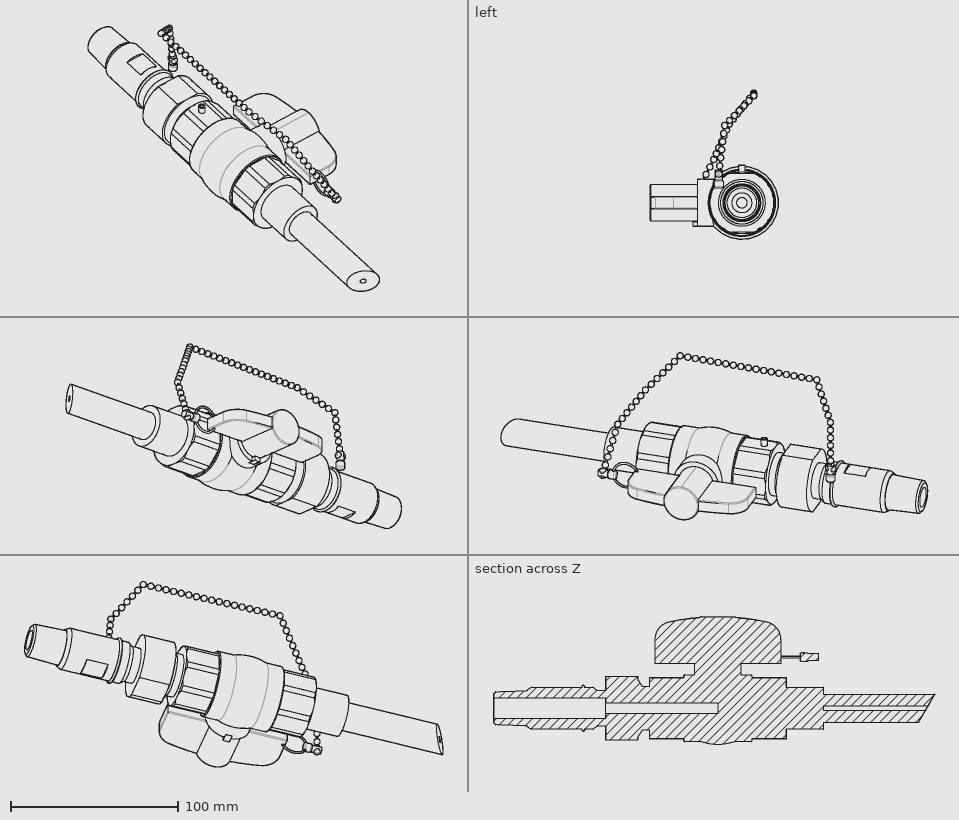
import cadquery as cq
import math


NOZZLE_END = 20.2
BARREL_START = 22.7
BARREL_END = 59.4
NECK_START = 62.0
COLLAR_START = 67.0
COLLAR_END = 86.2
COLLAR_CONE_END = 89.0
VALVE_CENTRE = 134.0
BODY_HALF_LENGTH = 20.4
BULGE_HALF_LENGTH = 9.95
OCTAGON_LENGTH = 20.5
SOCKET_END = 197.2
TOTAL_LENGTH = 263.65

TOTAL_WIDTH = 76.62
TOTAL_HEIGHT = 89.31

BODY_START = VALVE_CENTRE - BODY_HALF_LENGTH
BODY_END = VALVE_CENTRE + BODY_HALF_LENGTH
FIRST_OCTAGON_START = BODY_START - OCTAGON_LENGTH
SECOND_OCTAGON_END = BODY_END + OCTAGON_LENGTH

NOZZLE_TIP_DIAMETER = 20.0
NOZZLE_ROOT_DIAMETER = 21.4
NOZZLE_TIP_CHAMFER = 1.2
BARREL_SHOULDER_DIAMETER = 22.6
BARREL_DIAMETER = 25.4
NECK_DIAMETER = 21.6
COLLAR_DIAMETER = 38.1
COLLAR_NECK_DIAMETER = 26.2
OCTAGON_CORNER_DIAMETER = 38.3
BODY_DIAMETER = 40.26
BODY_EDGE_CHAMFER = 0.6
BULGE_DIAMETER = 43.8
SOCKET_DIAMETER = 25.4
PIPE_DIAMETER = 17.14

COLLAR_FLATS = 35.0
OCTAGON_SIDES = 8
OCTAGON_FLATS = 36.6
OCTAGON_CHAMFER = 0.8
BARREL_FLATS = 22.4
BARREL_FLAT_START = 34.4
BARREL_FLAT_LENGTH = 13.4

NOZZLE_BORE_DIAMETER = 11.91
NOZZLE_BORE_DEPTH = COLLAR_START
VALVE_BORE_DIAMETER = 6.35
PIPE_BORE_DIAMETER = 3.17
PIPE_BEVEL_ANGLE = 30.0

PIN_DIAMETER = 3.81
PIN_X = 100.2
PIN_TOP = 22.5
PIN_HOLE_DIAMETER = 2.0

STEM_DIAMETER = 28.19
GRIP_DIAMETER = 22.0
GRIP_EDGE_FILLET = 0.6
HANDLE_BASE_Y = 26.6
HANDLE_TIP_Y = TOTAL_WIDTH - BULGE_DIAMETER / 2
WING_HALF_SPAN = 37.7
WING_SHOULDER_Y = 49.6
WING_THICKNESS = 7.4
WING_CORNER_RADIUS = 11.0
WING_EDGE_FILLET = 0.6
STOP_WIDTH = 4.0
STOP_HEIGHT = 2.8
STOP_LENGTH = 2.6

BEAD_DIAMETER = 3.81
BEAD_PITCH = 4.8
LINK_DIAMETER = 1.0
CHAIN_TOP_Z = TOTAL_HEIGHT - BULGE_DIAMETER / 2
NOZZLE_CLIP = (53.6, 13.8, 17.2)
HANDLE_CLIP = (191.6, 30.6, -1.0)
CHAIN_CORNERS = [
    NOZZLE_CLIP,
    (54.9, 10.3, 46.2),
    (69.5, -7.1, 63.8),
    (155.7, -7.1, CHAIN_TOP_Z - BEAD_DIAMETER / 2),
    (172.6, 7.6, 46.9),
    (187.0, 16.8, 25.9),
    HANDLE_CLIP,
]

SLEEVE_DIAMETER = 4.3
SLEEVE_LENGTH = 6.0
SLEEVE_OVERHANG = 2.5
CROSS_PIN_DIAMETER = 4.0
CROSS_PIN_LENGTH = 6.0
CROSS_PIN_FILLET = 1.2
EYE_DIAMETER = 5.4
EYE_LENGTH = 5.0
EYE_FILLET = 1.0
HANDLE_RING_WIRE = 1.2
NOZZLE_RING_DIAMETER = 26.2
NOZZLE_RING_WIRE = 1.8
HANDLE_RING_DIAMETER = 15.8
HANDLE_RING_X = 177.1


def cylinder(diameter, start, end):
    """Round bar between two points."""
    axis = cq.Vector(*end) - cq.Vector(*start)
    return cq.Solid.makeCylinder(diameter / 2, axis.Length, cq.Vector(*start), axis)


def ball(diameter, centre):
    """Full sphere about a point."""
    sphere = cq.Solid.makeSphere(diameter / 2, angleDegrees1=-90, angleDegrees2=90)
    return sphere.moved(cq.Location(cq.Vector(*centre)))


def turned_body():
    """Revolved outline of everything that is round about the flow axis."""
    bulge_radius = BULGE_DIAMETER / 2
    body_radius = BODY_DIAMETER / 2
    profile = (
        cq.Workplane("XY")
        .moveTo(0, 0)
        .lineTo(0, NOZZLE_TIP_DIAMETER / 2 - NOZZLE_TIP_CHAMFER)
        .lineTo(NOZZLE_TIP_CHAMFER, NOZZLE_TIP_DIAMETER / 2)
        .lineTo(NOZZLE_END, NOZZLE_ROOT_DIAMETER / 2)
        .lineTo(NOZZLE_END, BARREL_SHOULDER_DIAMETER / 2)
        .lineTo(BARREL_START, BARREL_DIAMETER / 2)
        .lineTo(BARREL_END, BARREL_DIAMETER / 2)
        .lineTo(NECK_START, NECK_DIAMETER / 2)
        .lineTo(COLLAR_END, NECK_DIAMETER / 2)
        .lineTo(COLLAR_END, COLLAR_FLATS / 2)
        .lineTo(COLLAR_CONE_END, COLLAR_NECK_DIAMETER / 2)
        .lineTo(BODY_START, COLLAR_NECK_DIAMETER / 2)
        .lineTo(BODY_START, body_radius - BODY_EDGE_CHAMFER)
        .lineTo(BODY_START + BODY_EDGE_CHAMFER, body_radius)
        .lineTo(VALVE_CENTRE - BULGE_HALF_LENGTH, body_radius)
        .threePointArc((VALVE_CENTRE, bulge_radius), (VALVE_CENTRE + BULGE_HALF_LENGTH, body_radius))
        .lineTo(BODY_END - BODY_EDGE_CHAMFER, body_radius)
        .lineTo(BODY_END, body_radius - BODY_EDGE_CHAMFER)
        .lineTo(BODY_END, SOCKET_DIAMETER / 2)
        .lineTo(SOCKET_END, SOCKET_DIAMETER / 2)
        .lineTo(SOCKET_END, PIPE_DIAMETER / 2)
        .lineTo(TOTAL_LENGTH, PIPE_DIAMETER / 2)
        .lineTo(TOTAL_LENGTH, 0)
        .close()
    )
    return profile.revolve(360, (0, 0, 0), (1, 0, 0))


def barrel_flat(side):
    """Cutter for one wrench flat on the nozzle barrel; side is +1 (top) or -1."""
    depth = BARREL_DIAMETER / 2
    return cq.Workplane("XY").box(BARREL_FLAT_LENGTH, BARREL_DIAMETER, depth).translate(
        (BARREL_FLAT_START + BARREL_FLAT_LENGTH / 2, 0, side * (BARREL_FLATS + depth) / 2)
    )


def collar():
    """Union collar with one flat above and one below."""
    length = COLLAR_END - COLLAR_START
    blank = cq.Workplane("YZ", origin=(COLLAR_START, 0, 0)).circle(COLLAR_DIAMETER / 2).extrude(length)
    flats = cq.Workplane("XY").box(length, COLLAR_DIAMETER, COLLAR_FLATS)
    return blank.intersect(flats.translate((COLLAR_START + length / 2, 0, 0)))


def octagon(x_end, direction):
    """Eight-sided wrench grip from x_end back to the body, corners turned round.

    The outer end is chamfered at 45 degrees; direction (+1 or -1) points to the body.
    """
    corner_radius = OCTAGON_CORNER_DIAMETER / 2
    half_side_angle = 180 / OCTAGON_SIDES
    across_corners = OCTAGON_FLATS / math.cos(math.radians(half_side_angle))
    prism = (
        cq.Workplane("YZ", origin=(x_end, 0, 0))
        .transformed(rotate=(0, 0, half_side_angle))
        .polygon(OCTAGON_SIDES, across_corners)
        .extrude(direction * OCTAGON_LENGTH)
    )
    envelope = (
        cq.Workplane("XY")
        .moveTo(x_end, 0)
        .lineTo(x_end, corner_radius - OCTAGON_CHAMFER)
        .lineTo(x_end + direction * OCTAGON_CHAMFER, corner_radius)
        .lineTo(x_end + direction * OCTAGON_LENGTH, corner_radius)
        .lineTo(x_end + direction * OCTAGON_LENGTH, 0)
        .close()
        .revolve(360, (0, 0, 0), (1, 0, 0))
    )
    return prism.intersect(envelope)


def pipe_bevel():
    """Cutter that slants the pipe end, leaving its longest edge on +Y."""
    radius = PIPE_DIAMETER / 2
    setback = PIPE_DIAMETER * math.tan(math.radians(PIPE_BEVEL_ANGLE))
    return (
        cq.Workplane("XY")
        .moveTo(TOTAL_LENGTH, radius)
        .lineTo(TOTAL_LENGTH, -radius)
        .lineTo(TOTAL_LENGTH - setback, -radius)
        .close()
        .extrude(radius, both=True)
    )


def bores():
    """Stepped inlet bore up to the valve centre and the bore of the pipe."""
    inlet = cylinder(NOZZLE_BORE_DIAMETER, (0, 0, 0), (NOZZLE_BORE_DEPTH, 0, 0))
    valve = cylinder(VALVE_BORE_DIAMETER, (0, 0, 0), (VALVE_CENTRE, 0, 0))
    pipe = cylinder(PIPE_BORE_DIAMETER, (SOCKET_END, 0, 0), (TOTAL_LENGTH, 0, 0))
    return inlet, valve, pipe


def wings():
    """Flat T handle blade with rounded shoulders and softened edges."""
    return (
        cq.Workplane("XY", origin=(VALVE_CENTRE, 0, -WING_THICKNESS / 2))
        .moveTo(-WING_HALF_SPAN, HANDLE_BASE_Y)
        .lineTo(-WING_HALF_SPAN, WING_SHOULDER_Y)
        .threePointArc((0, HANDLE_TIP_Y), (WING_HALF_SPAN, WING_SHOULDER_Y))
        .lineTo(WING_HALF_SPAN, HANDLE_BASE_Y)
        .close()
        .extrude(WING_THICKNESS)
        .edges("|Z")
        .edges(">Y")
        .fillet(WING_CORNER_RADIUS)
        .faces("<Z or >Z")
        .edges()
        .fillet(WING_EDGE_FILLET)
    )


def handle():
    """Stem, round grip, blade and the stop lug under the grip."""
    stem = cylinder(STEM_DIAMETER, (VALVE_CENTRE, 0, 0), (VALVE_CENTRE, HANDLE_BASE_Y, 0))
    grip = cylinder(GRIP_DIAMETER, (VALVE_CENTRE, HANDLE_BASE_Y, 0), (VALVE_CENTRE, HANDLE_TIP_Y, 0))
    grip = cq.Workplane(grip).faces(">Y").edges().fillet(GRIP_EDGE_FILLET)
    stop = cq.Workplane("XY").box(STOP_WIDTH, 2 * STOP_LENGTH, STOP_HEIGHT)
    stop = stop.translate((VALVE_CENTRE, HANDLE_BASE_Y, (STOP_HEIGHT - STEM_DIAMETER) / 2))
    return [stem, grip.val(), wings().val(), stop.val()]


def chain():
    """Beads spaced evenly along straight runs, joined by thin links."""
    pieces = [ball(BEAD_DIAMETER, CHAIN_CORNERS[0])]
    for start, end in zip(CHAIN_CORNERS, CHAIN_CORNERS[1:]):
        pieces.append(cylinder(LINK_DIAMETER, start, end))
        run = cq.Vector(*end) - cq.Vector(*start)
        count = round(run.Length / BEAD_PITCH)
        for index in range(1, count + 1):
            centre = cq.Vector(*start) + run * (index / count)
            pieces.append(ball(BEAD_DIAMETER, centre.toTuple()))
    return pieces


def rounded_bar(diameter, fillet, start, end):
    """Round bar with both end edges filleted."""
    bar = cylinder(diameter, start.toTuple(), end.toTuple())
    rims = [edge for edge in bar.Edges() if edge.geomType() == "CIRCLE"]
    return bar.fillet(fillet, rims)


def clip(bead, direction, cross):
    """Chain clip: sleeve over the last bead, cross pin, and an eye on the ring side."""
    bead = cq.Vector(*bead)
    direction = cq.Vector(*direction)
    sleeve_start = bead - direction * SLEEVE_OVERHANG
    sleeve_end = sleeve_start + direction * SLEEVE_LENGTH
    eye_end = sleeve_end + direction * EYE_LENGTH
    half_pin = cq.Vector(*cross) * (CROSS_PIN_LENGTH / 2)
    return [
        cylinder(SLEEVE_DIAMETER, sleeve_start.toTuple(), sleeve_end.toTuple()),
        rounded_bar(CROSS_PIN_DIAMETER, CROSS_PIN_FILLET, bead - half_pin, bead + half_pin),
        rounded_bar(EYE_DIAMETER, EYE_FILLET, sleeve_end, eye_end),
    ]


def wire_ring(diameter, wire, centre, axis):
    """Round wire bent into a closed ring; diameter is measured to the wire centre."""
    return cq.Solid.makeTorus(diameter / 2, wire / 2, cq.Vector(*centre), cq.Vector(*axis))


def hollow_pin():
    """Upright tube on the first octagon, open down to the flat."""
    pin = cylinder(PIN_DIAMETER, (PIN_X, 0, 0), (PIN_X, 0, PIN_TOP))
    return pin.cut(cylinder(PIN_HOLE_DIAMETER, (PIN_X, 0, OCTAGON_FLATS / 2), (PIN_X, 0, PIN_TOP)))


body = turned_body()
body = body.union(collar())
body = body.union(octagon(FIRST_OCTAGON_START, 1))
body = body.union(octagon(SECOND_OCTAGON_END, -1))
body = body.cut(barrel_flat(1)).cut(barrel_flat(-1)).cut(pipe_bevel())

nozzle_ring_centre = (NOZZLE_CLIP[0], 0, 0)
handle_ring_centre = (HANDLE_RING_X, HANDLE_CLIP[1], 0)

attachments = handle() + chain()
attachments.append(hollow_pin())
attachments += clip(NOZZLE_CLIP, (0, 0, -1), (1, 0, 0))
attachments += clip(HANDLE_CLIP, (-1, 0, 0), (0, 0, 1))
attachments.append(wire_ring(NOZZLE_RING_DIAMETER, NOZZLE_RING_WIRE, nozzle_ring_centre, (1, 0, 0)))
attachments.append(wire_ring(HANDLE_RING_DIAMETER, HANDLE_RING_WIRE, handle_ring_centre, (0, 1, 0)))

result = cq.Workplane(body.val().fuse(*attachments).cut(*bores()))